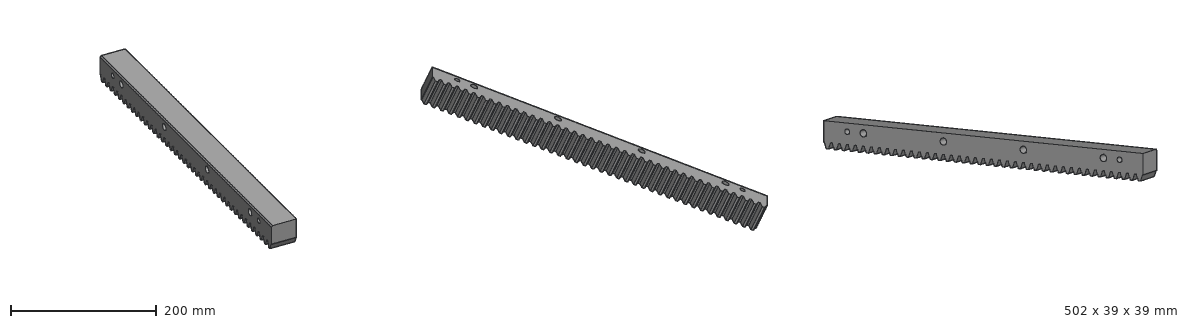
import cadquery as cq
import math

length = 502.0
width = 39.0
height = 39.0
edge_chamfer = 2.0

tooth_count = 40
end_clearance = 0.65
pressure_angle = math.radians(20)
pitch = (length + end_clearance) / tooth_count
module = pitch / math.pi
addendum = module
root_clearance = module / 4
dedendum = module + root_clearance
tooth_depth = addendum + dedendum
half_tip = pitch / 4 - addendum * math.tan(pressure_angle)
half_root = pitch / 4 + dedendum * math.tan(pressure_angle)

hole_drop = 12.0
bolt_hole_diameter = 10.0
bolt_hole_count = 4
pitches_between_bolts = 10
bolt_hole_spacing = pitches_between_bolts * pitch
pin_hole_diameter = 7.5
pin_hole_inset = 37.0


def rack_bar():
    """Toothed profile in the XZ plane, tooth tips at Z = 0, extruded across the width."""
    points = [(0, height), (0, tooth_depth)]
    first_center = (pitch - end_clearance) / 2
    for tooth in range(tooth_count):
        center = first_center + tooth * pitch
        points += [
            (center - half_root, tooth_depth),
            (center - half_tip, 0),
            (center + half_tip, 0),
            (center + half_root, tooth_depth),
        ]
    points += [(length, tooth_depth), (length, height)]
    return cq.Workplane("XZ").polyline(points).close().extrude(-width)


def cross_holes(diameter, x_positions):
    """Cylinders running through the full width at the common hole height."""
    centers = [(x, height - hole_drop) for x in x_positions]
    return cq.Workplane("XZ").pushPoints(centers).circle(diameter / 2).extrude(-width)


bar = rack_bar().edges("|X and >Z and <Y").chamfer(edge_chamfer)

first_bolt_hole = (length - (bolt_hole_count - 1) * bolt_hole_spacing) / 2
bolt_holes = [first_bolt_hole + i * bolt_hole_spacing for i in range(bolt_hole_count)]
pin_holes = [pin_hole_inset, length - pin_hole_inset]

result = bar.cut(cross_holes(bolt_hole_diameter, bolt_holes)).cut(cross_holes(pin_hole_diameter, pin_holes))